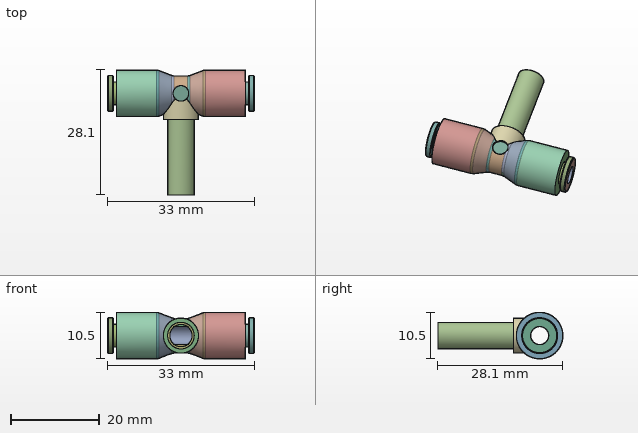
import cadquery as cq

BODY_LENGTH = 29.0
BODY_DIAMETER = 10.5
WAIST_DIAMETER = 7.9
SHOULDER_X = 5.2
WAIST_X = 1.8
BLEND_RADIUS = 1.6

OVERALL_LENGTH = 33.0
COLLAR_DIAMETER = 8.1
COLLAR_THICKNESS = 1.3
COLLAR_CHAMFER = 0.2
NECK_DIAMETER = 5.2
MAIN_BORE_DIAMETER = 4.0

BRANCH_DIAMETER = WAIST_DIAMETER
BRANCH_LENGTH = 5.9
TUBE_DIAMETER = 6.0
TUBE_BORE_DIAMETER = 5.0
TUBE_LENGTH = 22.89

RECESS_DIAMETER = 3.5
RECESS_FLOOR_Z = 3.5


def cylinder_along_x(diameter, length):
    """Cylinder on the X axis, centred on the origin."""
    return cq.Workplane("YZ").circle(diameter / 2).extrude(length / 2, both=True)


def cylinder_toward_branch(diameter, length):
    """Cylinder from the body axis toward -Y."""
    return cq.Workplane("XZ").circle(diameter / 2).extrude(length)


def circular_edges_at(x, diameter):
    """Selector for the circular edges around the X axis at the given place and diameter."""
    margin = 0.01
    reach = diameter / 2 + margin
    return cq.selectors.BoxSelector(
        (x - margin, -reach, -reach), (x + margin, reach, reach), boundingbox=True
    )


def waisted_body():
    """Two large cylinders tapering by cones to a narrow waist, with rounded transitions."""
    end_x = BODY_LENGTH / 2
    body_radius = BODY_DIAMETER / 2
    waist_radius = WAIST_DIAMETER / 2
    body = (
        cq.Workplane("XY")
        .moveTo(-end_x, 0)
        .lineTo(-end_x, body_radius)
        .lineTo(-SHOULDER_X, body_radius)
        .lineTo(-WAIST_X, waist_radius)
        .lineTo(WAIST_X, waist_radius)
        .lineTo(SHOULDER_X, body_radius)
        .lineTo(end_x, body_radius)
        .lineTo(end_x, 0)
        .close()
        .revolve(360, (0, 0, 0), (1, 0, 0))
    )
    for x, diameter in ((SHOULDER_X, BODY_DIAMETER), (WAIST_X, WAIST_DIAMETER)):
        for side in (-1, 1):
            body = body.edges(circular_edges_at(side * x, diameter)).fillet(BLEND_RADIUS)
    return body


def release_collar():
    """Flange on the +X end, chamfered around both rims."""
    inner_face_x = OVERALL_LENGTH / 2 - COLLAR_THICKNESS
    return (
        cq.Workplane("YZ", origin=(inner_face_x, 0, 0))
        .circle(COLLAR_DIAMETER / 2)
        .extrude(COLLAR_THICKNESS)
        .faces("<X or >X")
        .edges()
        .chamfer(COLLAR_CHAMFER)
    )


def label_recess():
    """Material removed above the flat floor of the round recess."""
    return (
        cq.Workplane("XY", origin=(0, 0, RECESS_FLOOR_Z))
        .circle(RECESS_DIAMETER / 2)
        .extrude(BODY_DIAMETER / 2 - RECESS_FLOOR_Z)
    )


collar = release_collar()
outside = (
    waisted_body()
    .union(cylinder_along_x(NECK_DIAMETER, OVERALL_LENGTH - COLLAR_THICKNESS))
    .union(collar)
    .union(collar.mirror("YZ"))
    .union(cylinder_toward_branch(BRANCH_DIAMETER, BRANCH_LENGTH))
    .union(cylinder_toward_branch(TUBE_DIAMETER, TUBE_LENGTH))
)

result = (
    outside
    .cut(cylinder_along_x(MAIN_BORE_DIAMETER, OVERALL_LENGTH))
    .cut(cylinder_toward_branch(TUBE_BORE_DIAMETER, TUBE_LENGTH))
    .cut(label_recess())
)